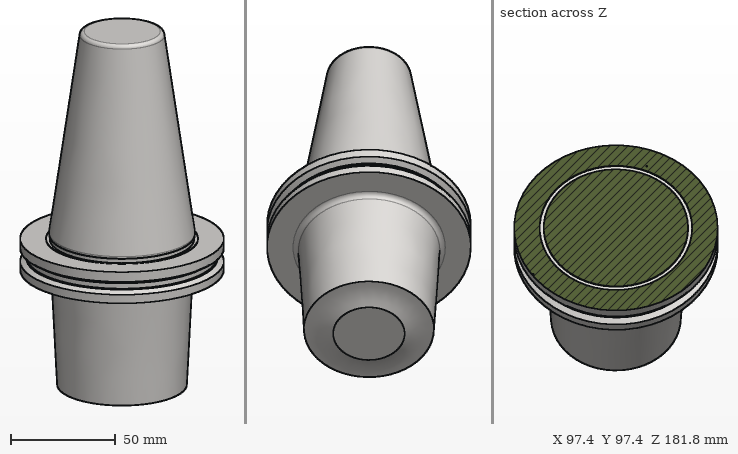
import cadquery as cq

total_height = 181.8
gauge_height = 80.0

gauge_radius = 34.9
taper_ratio = 7 / 48
tip_round = 2.2

collar_height = 1.0
neck_chamfer = 0.4
recess_radius = 36.4
recess_depth = 0.4
neck_radius = gauge_radius - neck_chamfer

flange_radius = 48.7
flange_top = gauge_height - 3.0
flange_bottom = 61.0
groove_floor_radius = 45.5
groove_top = 72.0
groove_bottom = 65.5
groove_side_height = 1.6
groove_round = 0.5

body_top_radius = 33.8
body_bottom_radius = 31.0
body_bottom = 3.0
body_fillet = 2.5
nose_arc_mid_radius = 22.9
nose_arc_mid_height = 2.2
nose_radius = 17.0

tip_radius = gauge_radius - taper_ratio * (total_height - gauge_height)
collar_bottom = gauge_height - collar_height
recess_floor = flange_top - recess_depth

profile = (
    cq.Workplane("XZ")
    .moveTo(0, 0)
    .lineTo(nose_radius, 0)
    .threePointArc((nose_arc_mid_radius, nose_arc_mid_height), (body_bottom_radius, body_bottom))
    .lineTo(body_top_radius, flange_bottom - body_fillet)
    .radiusArc((body_top_radius + body_fillet, flange_bottom), body_fillet)
    .lineTo(flange_radius, flange_bottom)
    .lineTo(flange_radius, groove_bottom)
    .lineTo(groove_floor_radius, groove_bottom + groove_side_height)
    .lineTo(groove_floor_radius, groove_top - groove_side_height)
    .lineTo(flange_radius, groove_top)
    .lineTo(flange_radius, flange_top)
    .lineTo(recess_radius, flange_top)
    .lineTo(recess_radius, recess_floor)
    .lineTo(neck_radius, recess_floor)
    .lineTo(neck_radius, collar_bottom - neck_chamfer)
    .lineTo(gauge_radius, collar_bottom)
    .lineTo(gauge_radius, gauge_height)
    .lineTo(tip_radius, total_height)
    .lineTo(0, total_height)
    .close()
)

body = profile.revolve(360, (0, 0, 0), (0, 1, 0))
body = body.faces(">Z").edges().fillet(tip_round)

floor_band = cq.selectors.BoxSelector(
    (-flange_radius, -flange_radius, groove_bottom + groove_side_height / 2),
    (flange_radius, flange_radius, groove_top - groove_side_height / 2),
)
result = body.edges(floor_band).edges("%CIRCLE").fillet(groove_round)